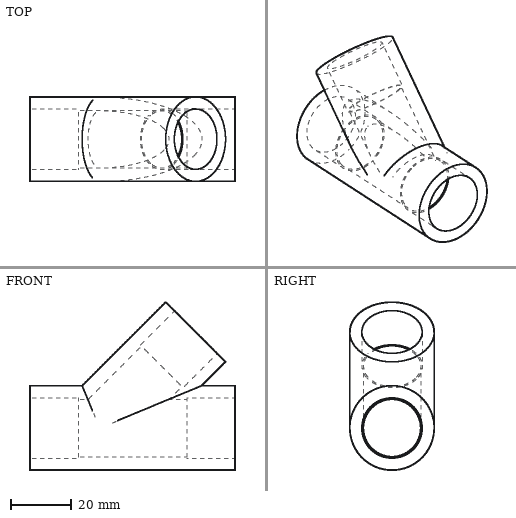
import cadquery as cq
import math

run_length = 68.0
outer_diameter = 28.0
socket_diameter = 20.0
bore_diameter = 19.0
socket_depth = 16.0
branch_angle = 45.0
branch_length = 44.95
crossing_distance = 23.1

run_axis = cq.Vector(1, 0, 0)
branch_axis = cq.Vector(
    math.cos(math.radians(branch_angle)), 0, math.sin(math.radians(branch_angle))
)
run_start = run_axis * -crossing_distance
run_end = run_axis * (run_length - crossing_distance)
branch_end = branch_axis * branch_length
crossing = cq.Vector(0, 0, 0)


def cylinder(diameter, length, start, direction):
    solid = cq.Solid.makeCylinder(diameter / 2, length, start, direction)
    return cq.Workplane(obj=solid)


body = cylinder(outer_diameter, run_length, run_start, run_axis)
body = body.union(cylinder(outer_diameter, branch_length, crossing, branch_axis))

body = body.cut(cylinder(bore_diameter, run_length, run_start, run_axis))
body = body.cut(cylinder(bore_diameter, branch_length, crossing, branch_axis))

mouths = [
    (run_start, run_axis),
    (run_end, -run_axis),
    (branch_end, -branch_axis),
]
for mouth, inward in mouths:
    body = body.cut(cylinder(socket_diameter, socket_depth, mouth, inward))

result = body